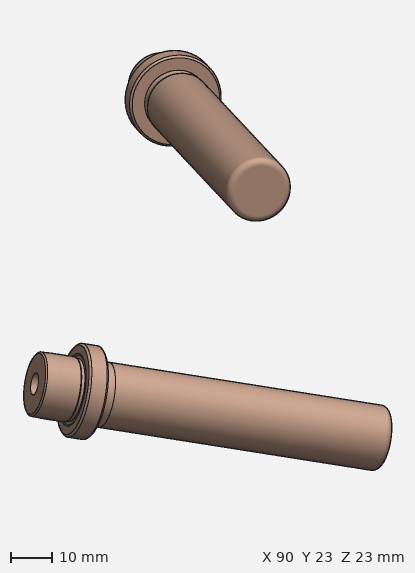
import cadquery as cq
import math

length = 90.0
shaft_radius = 8.0

lead_in_radius = 7.9
lead_in_length = 3.1
spigot_chamfer_length = 0.4
spigot_chamfer_depth = 0.45

undercut_start = 9.0
undercut_radius = 7.7
undercut_slope_length = 0.3
undercut_face_depth = 0.2
undercut_inner_face_radius = 8.55
undercut_outer_face_radius = 8.9

collar_start = 9.9
collar_end = 14.9
collar_radius = 11.5
collar_chamfer = 0.5

neck_radius = 7.6
neck_bottom = 16.3
shaft_start = 17.9

shaft_end_round = 1.6

hole_radius = 2.7
hole_depth = 11.7
drill_point_angle = 118.0


def neck_point(x):
    """Point on the concave neck arc, which passes from its lowest point up to the shaft."""
    run = shaft_start - neck_bottom
    rise = shaft_radius - neck_radius
    arc_radius = (run**2 + rise**2) / (2 * rise)
    return (x, neck_radius + arc_radius - math.sqrt(arc_radius**2 - (x - neck_bottom) ** 2))


def make_body():
    """Revolve the outer half-profile, drawn as (X, radius)."""
    undercut_bottom = collar_start + undercut_face_depth
    round_inset = shaft_end_round * (1 - math.sqrt(0.5))
    round_middle = (length - round_inset, shaft_radius - round_inset)

    profile = (
        cq.Workplane("XY")
        .moveTo(0, 0)
        .lineTo(0, lead_in_radius - spigot_chamfer_depth)
        .lineTo(spigot_chamfer_length, lead_in_radius)
        .lineTo(lead_in_length, shaft_radius)
        .lineTo(undercut_start, shaft_radius)
        .lineTo(undercut_start + undercut_slope_length, undercut_radius)
        .lineTo(undercut_bottom, undercut_radius)
        .lineTo(undercut_bottom, undercut_inner_face_radius)
        .lineTo(collar_start, undercut_outer_face_radius)
        .lineTo(collar_start, collar_radius - collar_chamfer)
        .lineTo(collar_start + collar_chamfer, collar_radius)
        .lineTo(collar_end - collar_chamfer, collar_radius)
        .lineTo(collar_end, collar_radius - collar_chamfer)
        .lineTo(*neck_point(collar_end))
        .threePointArc(neck_point((collar_end + neck_bottom) / 2), (neck_bottom, neck_radius))
        .threePointArc(neck_point((neck_bottom + shaft_start) / 2), (shaft_start, shaft_radius))
        .lineTo(length - shaft_end_round, shaft_radius)
        .threePointArc(round_middle, (length, shaft_radius - shaft_end_round))
        .lineTo(length, 0)
        .close()
    )
    return profile.revolve(360, (0, 0, 0), (1, 0, 0))


def make_hole():
    """Drilled hole with a conical bottom."""
    point_depth = hole_radius / math.tan(math.radians(drill_point_angle / 2))
    profile = (
        cq.Workplane("XY")
        .moveTo(0, 0)
        .lineTo(0, hole_radius)
        .lineTo(hole_depth, hole_radius)
        .lineTo(hole_depth + point_depth, 0)
        .close()
    )
    return profile.revolve(360, (0, 0, 0), (1, 0, 0))


result = make_body().cut(make_hole())